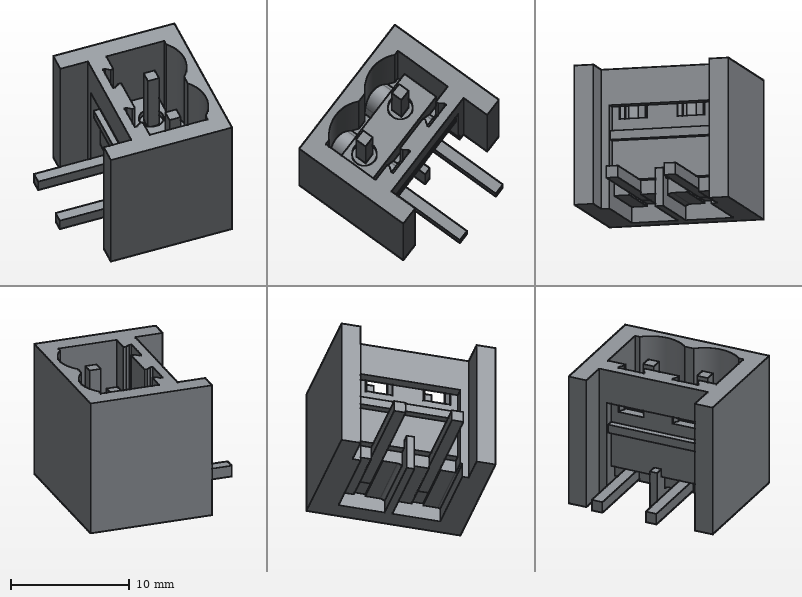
import cadquery as cq
import math


width = 13.56
height = 12.0
depth = 11.0
overall_length = 14.2
wall = 1.68
arm_length = 2.5
rear_wall = 1.58

rear_y = overall_length
arm_front_y = rear_y - depth
wall_front_y = arm_front_y + arm_length
cavity_front_y = wall_front_y + wall
cavity_rear_y = rear_y - rear_wall
cavity_half_width = width / 2 - wall

pitch = 5.08
pin_size = 1.01
pin_x = (-pitch / 2, pitch / 2)
pin_y = 10.47
pin_bottom_z = 1.56
pin_top_z = 10.96
pin_leg_top_z = pin_bottom_z + pin_size
pin_rear_y = pin_y + pin_size / 2

scallop_half_chord = 2.12
scallop_depth = 0.84
trench_floor_z = 3.0
block_top_z = 5.96
block_front_y = 8.58
block_rear_y = 11.93
pin_recess_diameter = 2.1
pin_recess_depth = 0.5

ridge_half_width = 1.62
ridge_crown_half_width = 1.25
ridge_flank_angle = math.radians(57)

slot_depth = 0.84
slot_floor_z = 7.82
slot_half_width = 1.2
slot_neck_half_width = 0.91
slot_straight_depth = 0.2
slot_flank_angle = math.radians(52)

window_half_width = 4.39
window_top_z = 8.9
panel_y = cavity_front_y - slot_depth
ledge_front_y = 5.94
ledge_bottom_z = 5.98
ledge_top_z = 6.75

tunnel_top_z = 1.36
tunnel_flat_half_width = 1.78
tunnel_corner_radius = 0.6
tunnel_right_x = 4.56
rib_width = 0.68
rib_height = 3.3
lip_y = 7.17


def block(x_min, x_max, y_min, y_max, z_min, z_max):
    """Box given by its limits along each axis."""
    size = (x_max - x_min, y_max - y_min, z_max - z_min)
    return cq.Workplane("XY").box(*size, centered=False).translate((x_min, y_min, z_min))


def along_y(y_min, y_max, outline):
    """Extrude an outline drawn in X and Z from y_min to y_max."""
    return outline.extrude(y_min - y_max).translate((0, y_min, 0))


def shell():
    """Solid housing with the two arms at the front."""
    body = block(-width / 2, width / 2, arm_front_y, rear_y, 0, height)
    gap = block(-cavity_half_width, cavity_half_width, arm_front_y, wall_front_y, 0, height)
    return body.cut(gap)


def ridge(x):
    """Round-topped ridge that stands on the trench floor."""
    crown_radius = ridge_crown_half_width / math.sin(ridge_flank_angle)
    flank_rise = (ridge_half_width - ridge_crown_half_width) * math.tan(ridge_flank_angle)
    shoulder_z = trench_floor_z + flank_rise
    crown_z = shoulder_z + crown_radius * (1 - math.cos(ridge_flank_angle))
    outline = (
        cq.Workplane("XZ")
        .moveTo(x - ridge_half_width, trench_floor_z)
        .lineTo(x - ridge_crown_half_width, shoulder_z)
        .threePointArc((x, crown_z), (x + ridge_crown_half_width, shoulder_z))
        .lineTo(x + ridge_half_width, trench_floor_z)
        .close()
    )
    return along_y(cavity_front_y, cavity_rear_y + scallop_depth, outline)


def scallop(x):
    """Rounded bay in the rear wall of the cavity."""
    return (
        cq.Workplane("XY")
        .workplane(offset=trench_floor_z)
        .moveTo(x - scallop_half_chord, cavity_rear_y)
        .threePointArc((x, cavity_rear_y + scallop_depth), (x + scallop_half_chord, cavity_rear_y))
        .close()
        .extrude(height - trench_floor_z)
    )


def dovetail_slot(x):
    """Slot in the front wall that widens away from the cavity through sloping flanks."""
    flare = slot_half_width - slot_neck_half_width
    flare_front_y = panel_y + slot_straight_depth
    flare_rear_y = flare_front_y + flare * math.tan(slot_flank_angle)
    outline = [
        (x - slot_half_width, panel_y),
        (x - slot_half_width, flare_front_y),
        (x - slot_neck_half_width, flare_rear_y),
        (x - slot_neck_half_width, cavity_front_y),
        (x + slot_neck_half_width, cavity_front_y),
        (x + slot_neck_half_width, flare_rear_y),
        (x + slot_half_width, flare_front_y),
        (x + slot_half_width, panel_y),
    ]
    return (
        cq.Workplane("XY")
        .workplane(offset=slot_floor_z)
        .polyline(outline)
        .close()
        .extrude(height - slot_floor_z)
    )


def pin_recess(x):
    """Round recess around a pin in the top of the block."""
    return (
        cq.Workplane("XY")
        .workplane(offset=block_top_z - pin_recess_depth)
        .center(x, pin_y)
        .circle(pin_recess_diameter / 2)
        .extrude(pin_recess_depth)
    )


def mating_cavity():
    """Everything removed from above: trenches, scallops, dovetail slots, pin recesses."""
    space = block(
        -cavity_half_width, cavity_half_width, cavity_front_y, cavity_rear_y, trench_floor_z, height
    )
    for x in pin_x:
        space = space.union(scallop(x))
    for x in pin_x:
        space = space.cut(ridge(x))
    space = space.cut(
        block(
            -cavity_half_width, cavity_half_width, block_front_y, block_rear_y, trench_floor_z, block_top_z
        )
    )
    for x in pin_x:
        space = space.union(dovetail_slot(x)).union(pin_recess(x))
    return space


def front_window():
    """Window down to the panel with its ledge, deeper below the panel's lower edge."""
    upper = block(
        -window_half_width, window_half_width, wall_front_y, panel_y, pin_leg_top_z, window_top_z
    )
    ledge = block(
        -window_half_width, window_half_width, ledge_front_y, panel_y, ledge_bottom_z, ledge_top_z
    )
    lower = block(
        -window_half_width, window_half_width, wall_front_y, lip_y, 0, pin_leg_top_z
    )
    return upper.cut(ledge).union(lower)


def tunnel(x):
    """Round-cornered tunnel along the underside, with a slot in its roof up to the pin."""
    half_width = tunnel_flat_half_width + tunnel_corner_radius
    bore = block(x - half_width, x + half_width, wall_front_y, cavity_rear_y, 0, tunnel_top_z)
    bore = bore.edges("|Y and >Z").fillet(tunnel_corner_radius)
    limits = block(-window_half_width, tunnel_right_x, wall_front_y, cavity_rear_y, 0, tunnel_top_z)
    pin_slot = block(
        x - pin_size / 2, x + pin_size / 2, wall_front_y, cavity_rear_y, tunnel_top_z, pin_bottom_z
    )
    return bore.intersect(limits).union(pin_slot)


def centre_rib():
    """Rib between the tunnels, flush with the front wall."""
    half = rib_width / 2
    tall = block(-half, half, wall_front_y, panel_y, 0, rib_height)
    low = block(-half, half, panel_y, cavity_rear_y, 0, pin_leg_top_z)
    return tall.union(low)


def make_pin(x):
    """L-shaped pin: a horizontal tail and an upright contact leg."""
    half = pin_size / 2
    tail = block(x - half, x + half, 0, pin_rear_y, pin_bottom_z, pin_leg_top_z)
    contact = block(x - half, x + half, pin_y - half, pin_rear_y, pin_bottom_z, pin_top_z)
    return tail.union(contact)


def make_housing(pins):
    """Housing with its openings, and a fitting seat for each pin."""
    body = shell().cut(mating_cavity()).cut(front_window())
    for x in pin_x:
        body = body.cut(tunnel(x))
    body = body.union(centre_rib())
    for pin in pins:
        body = body.cut(pin)
    return body


pins = [make_pin(x) for x in pin_x]
housing = make_housing(pins)

result = cq.Compound.makeCompound([housing.val(), *[pin.val() for pin in pins]])